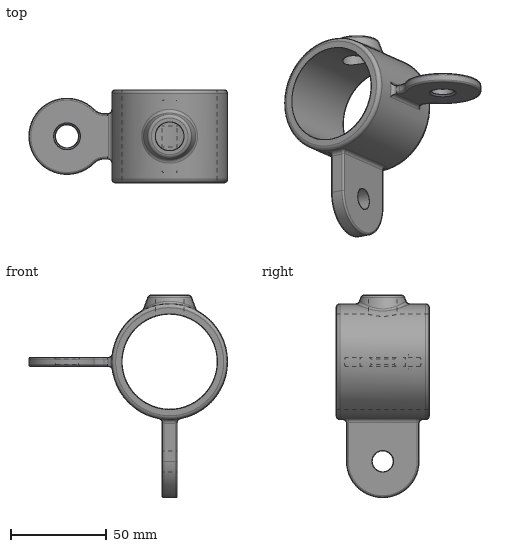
import cadquery as cq
import math

ring_radius = 30.5
bore_radius = 25.0
ring_length = 49.0
rim_fillet = 2.0

boss_top = 35.0
boss_top_radius = 11.1
boss_taper = math.radians(20)
boss_hole_radius = 7.6
boss_rim_fillet = 2.0

eye_radius = 20.0
eye_reach = 74.0
neck_root_reach = 32.7
eye_thickness = 4.8
eye_drop = 0.1
eye_hole_radius = 6.1
eye_hole_chamfer = 1.0
neck_half_width = 11.9
neck_fillet = 7.5

tab_half_width = 19.1
tab_bottom = -71.5
tab_thickness = 8.0
tab_hole_radius = 5.5

lug_edge_fillet = 1.0
root_fillet = 2.0
root_radius = (ring_radius + bore_radius) / 2


def make_ring():
    ring = cq.Workplane("XZ", origin=(0, ring_length / 2, 0)).circle(ring_radius).extrude(ring_length)
    return ring.faces("|Y").edges().fillet(rim_fillet)


def make_boss():
    height = boss_top - bore_radius
    base_radius = boss_top_radius + height * math.tan(boss_taper)
    profile = (
        cq.Workplane("XZ")
        .moveTo(0, bore_radius)
        .lineTo(base_radius, bore_radius)
        .lineTo(boss_top_radius, boss_top)
        .lineTo(0, boss_top)
        .close()
    )
    boss = profile.revolve(360, (0, 0, 0), (0, 1, 0))
    return boss.faces(">Z").edges().fillet(boss_rim_fillet)


def make_eye_lug():
    eye_x = eye_radius - eye_reach
    arc_y = neck_half_width + neck_fillet
    centre_distance = eye_radius + neck_fillet
    arc_x = eye_x + math.sqrt(centre_distance**2 - arc_y**2)
    touch_x = eye_x + (arc_x - eye_x) * eye_radius / centre_distance
    touch_y = arc_y * eye_radius / centre_distance
    half_angle = math.atan2(arc_x - eye_x, arc_y) / 2
    mid_x = arc_x - neck_fillet * math.sin(half_angle)
    mid_y = arc_y - neck_fillet * math.cos(half_angle)
    outline = (
        cq.Workplane("XY", origin=(0, 0, -eye_thickness / 2 - eye_drop))
        .moveTo(-root_radius, -neck_half_width)
        .lineTo(arc_x, -neck_half_width)
        .threePointArc((mid_x, -mid_y), (touch_x, -touch_y))
        .threePointArc((-eye_reach, 0), (touch_x, touch_y))
        .threePointArc((mid_x, mid_y), (arc_x, neck_half_width))
        .lineTo(-root_radius, neck_half_width)
        .close()
    )
    lug = outline.extrude(eye_thickness)
    lug = lug.faces("|Z").edges("not >X").fillet(lug_edge_fillet)
    hole = cq.Workplane("XY").center(eye_x, 0).circle(eye_hole_radius).extrude(eye_thickness, both=True)
    lug = lug.cut(hole)
    hole_rims = cq.selectors.RadiusNthSelector(0)
    lug = lug.faces("|Z").edges("%CIRCLE").edges(hole_rims).chamfer(eye_hole_chamfer)
    root_length = neck_root_reach - root_radius
    root_x = -(neck_root_reach + root_radius) / 2
    root = cq.Workplane("XY", origin=(root_x, 0, -eye_drop)).box(root_length, 2 * neck_half_width, eye_thickness)
    return lug.union(root)


def make_tab_lug():
    tab_z = tab_bottom + tab_half_width
    outline = (
        cq.Workplane("YZ", origin=(-tab_thickness / 2, 0, 0))
        .moveTo(tab_half_width, -root_radius)
        .lineTo(tab_half_width, tab_z)
        .threePointArc((0, tab_bottom), (-tab_half_width, tab_z))
        .lineTo(-tab_half_width, -root_radius)
        .close()
    )
    lug = outline.extrude(tab_thickness)
    lug = lug.faces("|X").edges("not >Z").fillet(lug_edge_fillet)
    hole = cq.Workplane("YZ").center(0, tab_z).circle(tab_hole_radius).extrude(tab_thickness, both=True)
    return lug.cut(hole)


def join_with_fillet(body, feature):
    """Join a feature to the ring and round the edges where it meets the wall."""
    joined = body.union(feature)
    tolerance = 0.01
    sample_places = (0.13, 0.5, 0.87)
    on_wall = []
    for edge in joined.edges().vals():
        points = [edge.positionAt(t) for t in sample_places]
        along_wall = all(abs(math.hypot(p.x, p.z) - ring_radius) < tolerance for p in points)
        inside_rims = all(abs(p.y) < ring_length / 2 - rim_fillet for p in points)
        vertices = [cq.Vertex.makeVertex(*p.toTuple()) for p in points]
        touches_feature = all(feature.val().distance(v) < tolerance for v in vertices)
        if along_wall and inside_rims and touches_feature:
            on_wall.append(edge)
    return joined.newObject(on_wall).fillet(root_fillet)


body = make_ring()
for make_feature in (make_boss, make_eye_lug, make_tab_lug):
    body = join_with_fillet(body, make_feature())

bore = cq.Workplane("XZ").circle(bore_radius).extrude(ring_length, both=True)
boss_hole = cq.Workplane("XY").circle(boss_hole_radius).extrude(boss_top)
result = body.cut(bore).cut(boss_hole)